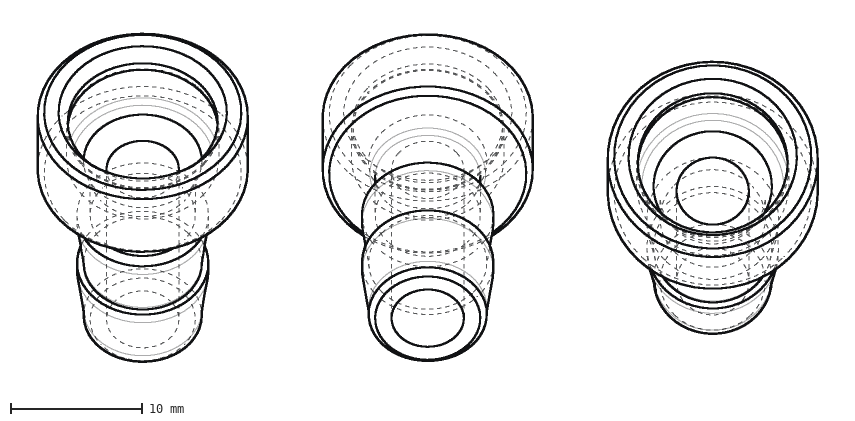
import cadquery as cq
import math

total_height = 25.5

head_diameter = 16.0
head_height = 7.5
head_chamfer = 0.5

neck_diameter = 8.0
neck_fillet = 0.4

barb_count = 2
barb_pitch = 5.95
barb_diameter = 10.0
barb_root_diameter = 9.0
barb_collar_height = 1.0
barb_taper_height = 4.7
last_barb_top = 6.95
tip_chamfer = 0.5

mouth_diameter = 12.8
mouth_half_angle = 30.0
lip_diameter = 11.4
lip_height = 0.8
socket_diameter = 11.6
socket_depth = 6.0
socket_floor_fillet = 0.4

bore_diameter = 5.5
entry_diameter = 9.0
entry_half_angle = 60.0


def cylinder(diameter, bottom, top):
    """Cylinder on the Z axis between two heights."""
    return cq.Workplane("XY").workplane(offset=bottom).circle(diameter / 2).extrude(top - bottom)


def cone(bottom_diameter, top_diameter, bottom, top):
    """Truncated cone on the Z axis between two heights."""
    profile = [
        (0, bottom),
        (bottom_diameter / 2, bottom),
        (top_diameter / 2, top),
        (0, top),
    ]
    return cq.Workplane("XZ").polyline(profile).close().revolve(360, (0, 0, 0), (0, 1, 0))


def cone_height(large_diameter, small_diameter, half_angle):
    """Axial length of a cone whose wall leans half_angle degrees from the axis."""
    return (large_diameter - small_diameter) / 2 / math.tan(math.radians(half_angle))


def make_head_and_neck():
    """Chamfered head joined to the neck by a small fillet."""
    head_bottom = total_height - head_height
    head = cylinder(head_diameter, head_bottom, total_height).edges().chamfer(head_chamfer)
    neck = cylinder(neck_diameter, last_barb_top, head_bottom)
    corner_box_reach = neck_diameter / 2 + neck_fillet
    corner = cq.selectors.BoxSelector(
        (-corner_box_reach, -corner_box_reach, head_bottom - neck_fillet),
        (corner_box_reach, corner_box_reach, head_bottom + neck_fillet),
        boundingbox=True,
    )
    return head.union(neck).edges(corner).fillet(neck_fillet)


def make_barb(top):
    """Straight collar over a taper that narrows downward to the root diameter."""
    collar_bottom = top - barb_collar_height
    taper_bottom = collar_bottom - barb_taper_height
    collar = cylinder(barb_diameter, collar_bottom, top)
    taper = cone(barb_root_diameter, barb_diameter, taper_bottom, collar_bottom)
    return collar.union(taper)


def make_stem():
    """Root cylinder with a chamfered tip, carrying the row of barbs."""
    highest_barb_top = last_barb_top + (barb_count - 1) * barb_pitch
    stem = cylinder(barb_root_diameter, 0, highest_barb_top).faces("<Z").chamfer(tip_chamfer)
    for index in range(barb_count):
        stem = stem.union(make_barb(last_barb_top + index * barb_pitch))
    return stem


def make_socket_cavity():
    """Conical mouth, narrow lip and wider socket with a rounded floor corner."""
    lip_top = total_height - cone_height(mouth_diameter, lip_diameter, mouth_half_angle)
    lip_bottom = lip_top - lip_height
    floor = total_height - socket_depth
    mouth = cone(lip_diameter, mouth_diameter, lip_top, total_height)
    lip = cylinder(lip_diameter, lip_bottom, lip_top)
    socket = cylinder(socket_diameter, floor, lip_bottom).edges("<Z").fillet(socket_floor_fillet)
    return mouth.union(lip).union(socket)


def make_bore_cavity():
    """Through bore that opens into the socket floor with a cone."""
    floor = total_height - socket_depth
    entry_bottom = floor - cone_height(entry_diameter, bore_diameter, entry_half_angle)
    bore = cylinder(bore_diameter, 0, floor)
    entry = cone(bore_diameter, entry_diameter, entry_bottom, floor)
    return bore.union(entry)


body = make_head_and_neck().union(make_stem())
result = body.cut(make_socket_cavity()).cut(make_bore_cavity())